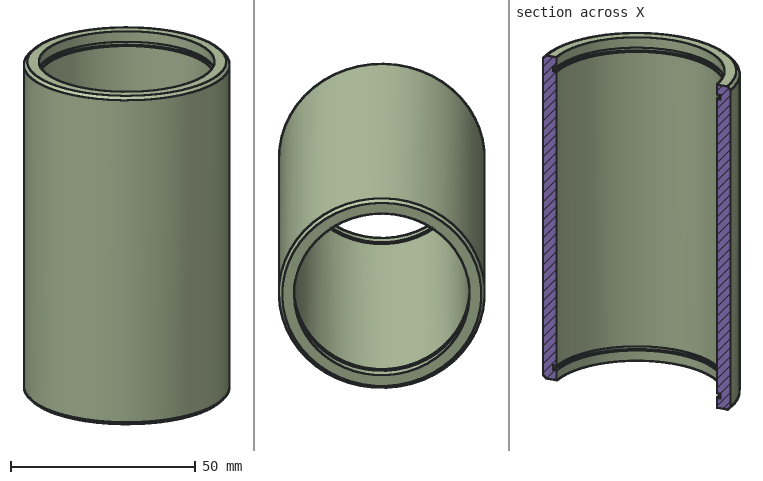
import cadquery as cq

length = 95.0
outer_diameter = 56.0
bore_diameter = 47.7
edge_chamfer = 0.95

groove_offset = 3.0
groove_width = 1.2
groove_depth = 1.0


def make_tube():
    """Plain tube along Z, chamfered on both outer rims."""
    body = cq.Workplane("XY").circle(outer_diameter / 2).extrude(length)
    body = body.faces("<Z or >Z").edges().chamfer(edge_chamfer)
    bore = cq.Workplane("XY").circle(bore_diameter / 2).extrude(length)
    return body.cut(bore)


def make_groove_cutter(bottom):
    """Disc that widens the bore from the given height up."""
    groove_radius = bore_diameter / 2 + groove_depth
    return cq.Workplane("XY").workplane(offset=bottom).circle(groove_radius).extrude(groove_width)


result = make_tube()
for groove_bottom in (groove_offset, length - groove_offset - groove_width):
    result = result.cut(make_groove_cutter(groove_bottom))